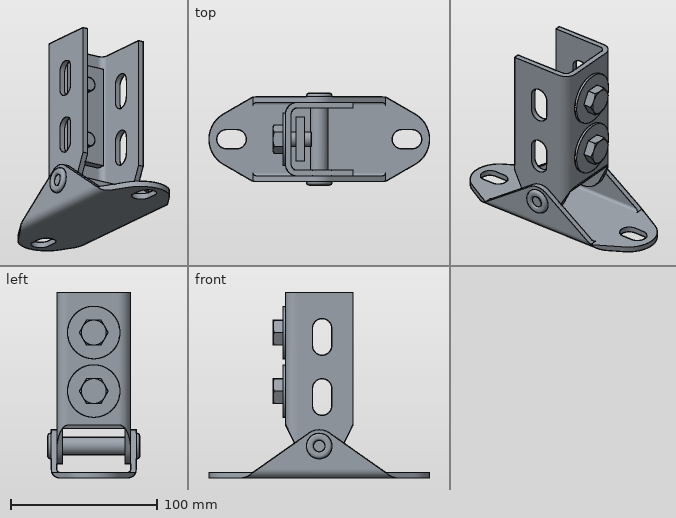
import cadquery as cq
import math

sheet = 4.0
base_length = 151.0
base_width = 58.1
base_bend_inner = 2.0
base_end_radius = 20.0
base_edge_angle = 30.0
slot_width = 13.0
base_slot_length = 20.1
base_slot_x = 60.0
lug_half_length = 45.3
lug_tip_radius = 12.1
lug_height = 33.0

channel_width = base_width - 2 * sheet
channel_half_depth = 23.1
channel_bend_outer = 8.0
channel_top = 127.0
channel_bottom = 9.7
channel_taper_start = 36.4
channel_toe_radius = 16.0
web_bottom = 33.8
channel_slot_length = 24.9
channel_slot_x = 2.0
channel_slot_heights = (55.4, 96.5)

pin_diameter = 12.2
pin_height = 21.9
pin_length = 63.0
pin_head_diameter = 17.5
pin_head_round = 2.0
pin_recess_diameter = 7.9
pin_recess_depth = 1.5

bolt_heights = (59.5, 99.5)
bolt_diameter = 10.0
bolt_tip_diameter = 9.2
bolt_tip_x = -5.3
bolt_head_flats = 17.0
bolt_head_height = 6.6
bolt_head_chamfer_angle = 30.0
washer_diameter = 36.0
washer_thickness = 1.8
clamp_plate_x = -16.0
clamp_plate_thickness = 6.0
clamp_plate_width = 30.0

web_outer_x = -channel_half_depth
inner_width = channel_width - 2 * sheet


def tangent_point(corner, center, radius, side):
    """Point where a line from the corner touches a circle; side picks one of the two tangents."""
    dx = corner[0] - center[0]
    dz = corner[1] - center[1]
    angle = math.atan2(dz, dx) + side * math.acos(radius / math.hypot(dx, dz))
    return (center[0] + radius * math.cos(angle), center[1] + radius * math.sin(angle))


def mirrored(point):
    return (-point[0], point[1])


def extrude_along_y(profile, width):
    """Extrude an XZ profile symmetrically about Y = 0."""
    return profile.extrude(width / 2, both=True)


def cylinder_x(x_start, x_end, diameter, height):
    plane = cq.Workplane("YZ", origin=(x_start, 0, height))
    return plane.circle(diameter / 2).extrude(x_end - x_start)


def base_outline():
    """Plan of the base: parallel sides, angled edges and rounded ends, with one slot per end."""
    angle = math.radians(base_edge_angle)
    arc_center_x = base_length / 2 - base_end_radius
    arc_x = arc_center_x + base_end_radius * math.sin(angle)
    arc_y = base_end_radius * math.cos(angle)
    side_y = base_width / 2
    side_x = arc_x - (side_y - arc_y) / math.tan(angle)
    plan = (
        cq.Workplane("XY")
        .moveTo(-side_x, -side_y)
        .lineTo(side_x, -side_y)
        .lineTo(arc_x, -arc_y)
        .threePointArc((base_length / 2, 0), (arc_x, arc_y))
        .lineTo(side_x, side_y)
        .lineTo(-side_x, side_y)
        .lineTo(-arc_x, arc_y)
        .threePointArc((-base_length / 2, 0), (-arc_x, -arc_y))
        .close()
        .extrude(lug_height)
    )
    slots = (
        cq.Workplane("XY")
        .pushPoints([(-base_slot_x, 0), (base_slot_x, 0)])
        .slot2D(base_slot_length, slot_width)
        .extrude(lug_height)
    )
    return plan.cut(slots)


def lug_profile():
    """Side shape of the base: a full-length floor with a round-tipped triangle above it."""
    tip_center = (0, lug_height - lug_tip_radius)
    foot = (lug_half_length, sheet)
    shoulder = tangent_point(foot, tip_center, lug_tip_radius, 1)
    triangle = (
        cq.Workplane("XZ")
        .moveTo(*mirrored(foot))
        .lineTo(*foot)
        .lineTo(*shoulder)
        .threePointArc((0, lug_height), mirrored(shoulder))
        .close()
    )
    floor = cq.Workplane("XY").box(base_length, base_width, sheet, centered=(True, True, False))
    return floor.union(extrude_along_y(triangle, base_width))


def make_base():
    outer = (
        cq.Workplane("XY")
        .box(base_length, base_width, lug_height, centered=(True, True, False))
        .edges("|X and <Z")
        .fillet(base_bend_inner + sheet)
    )
    hollow = (
        cq.Workplane("XY", origin=(0, 0, sheet))
        .box(base_length, channel_width, lug_height, centered=(True, True, False))
        .edges("|X and <Z")
        .fillet(base_bend_inner)
    )
    return outer.cut(hollow).intersect(base_outline()).intersect(lug_profile())


def make_channel():
    depth = 2 * channel_half_depth
    height = channel_top - channel_bottom
    outer = (
        cq.Workplane("XY", origin=(web_outer_x, 0, channel_bottom))
        .box(depth, channel_width, height, centered=(False, True, False))
        .edges("|Z and <X")
        .fillet(channel_bend_outer)
    )
    hollow = (
        cq.Workplane("XY", origin=(web_outer_x + sheet, 0, channel_bottom))
        .box(depth, inner_width, height, centered=(False, True, False))
        .edges("|Z and <X")
        .fillet(channel_bend_outer - sheet)
    )

    taper_corner = (channel_half_depth, channel_taper_start)
    toe_center = (0, channel_bottom + channel_toe_radius)
    toe = tangent_point(taper_corner, toe_center, channel_toe_radius, -1)
    side_shape = (
        cq.Workplane("XZ")
        .moveTo(-channel_half_depth, channel_top)
        .lineTo(channel_half_depth, channel_top)
        .lineTo(*taper_corner)
        .lineTo(*toe)
        .threePointArc((0, channel_bottom), mirrored(toe))
        .lineTo(*mirrored(taper_corner))
        .close()
    )

    web_opening = cq.Workplane("XY", origin=(web_outer_x, 0, 0)).box(
        depth, inner_width, web_bottom, centered=(False, True, False)
    )
    flange_slots = (
        cq.Workplane("XZ")
        .pushPoints([(channel_slot_x, z) for z in channel_slot_heights])
        .slot2D(channel_slot_length, slot_width, 90)
    )
    return (
        outer.cut(hollow)
        .intersect(extrude_along_y(side_shape, channel_width))
        .cut(web_opening)
        .cut(extrude_along_y(flange_slots, channel_width))
    )


def make_pin():
    """Pin with a rounded, dished head outside each lug."""
    head_height = (pin_length - base_width) / 2
    pin = extrude_along_y(
        cq.Workplane("XZ", origin=(0, 0, pin_height)).circle(pin_diameter / 2), base_width
    )
    head = (
        cq.Workplane("XZ", origin=(0, -base_width / 2, pin_height))
        .circle(pin_head_diameter / 2)
        .extrude(head_height)
        .faces("<Y")
        .edges()
        .fillet(pin_head_round)
    )
    recess_radius = pin_recess_diameter / 2
    rim_radius = recess_radius + pin_recess_depth
    face_y = -pin_length / 2
    round_inset = pin_recess_depth * (1 - math.sqrt(0.5))
    round_middle = (recess_radius + round_inset, face_y + round_inset)
    recess = (
        cq.Workplane("XY", origin=(0, 0, pin_height))
        .moveTo(0, face_y)
        .lineTo(rim_radius, face_y)
        .threePointArc(round_middle, (recess_radius, face_y + pin_recess_depth))
        .lineTo(0, face_y + pin_recess_depth)
        .close()
        .revolve(360, (0, 0, 0), (0, 1, 0))
    )
    head = head.cut(recess)
    return pin.union(head).union(head.mirror("XZ"))


def make_bolt(height):
    """Hexagon bolt and washer, with the shank pointing towards +X."""
    washer_x = web_outer_x - washer_thickness
    head_x = washer_x - bolt_head_height
    corner_diameter = bolt_head_flats / math.cos(math.pi / 6)
    hexagon = (
        cq.Workplane("YZ", origin=(head_x, 0, height))
        .polygon(6, corner_diameter)
        .extrude(bolt_head_height)
    )

    corner_radius = corner_diameter / 2
    face_radius = bolt_head_flats / 2
    corner_drop = (corner_radius - face_radius) * math.tan(math.radians(bolt_head_chamfer_angle))
    envelope = (
        cq.Workplane("XY", origin=(0, 0, height))
        .moveTo(head_x, 0)
        .lineTo(head_x, face_radius)
        .lineTo(head_x + corner_drop, corner_radius)
        .lineTo(washer_x, corner_radius)
        .lineTo(washer_x, 0)
        .close()
        .revolve(360, (0, 0, 0), (1, 0, 0))
    )
    shank = (
        cylinder_x(washer_x, bolt_tip_x, bolt_diameter, height)
        .faces(">X")
        .chamfer((bolt_diameter - bolt_tip_diameter) / 2)
    )
    washer = cylinder_x(washer_x, web_outer_x, washer_diameter, height)
    return hexagon.intersect(envelope).union(washer).union(shank)


def make_clamp_plate():
    """Plate across both bolts, with the same margin beyond the bolts in every direction."""
    plate_height = bolt_heights[1] - bolt_heights[0] + clamp_plate_width
    plate_center_z = sum(bolt_heights) / 2
    return cq.Workplane("XY", origin=(clamp_plate_x, 0, plate_center_z)).box(
        clamp_plate_thickness, clamp_plate_width, plate_height, centered=(False, True, True)
    )


result = make_base().union(make_channel()).union(make_pin()).union(make_clamp_plate())
for bolt_height in bolt_heights:
    result = result.union(make_bolt(bolt_height))